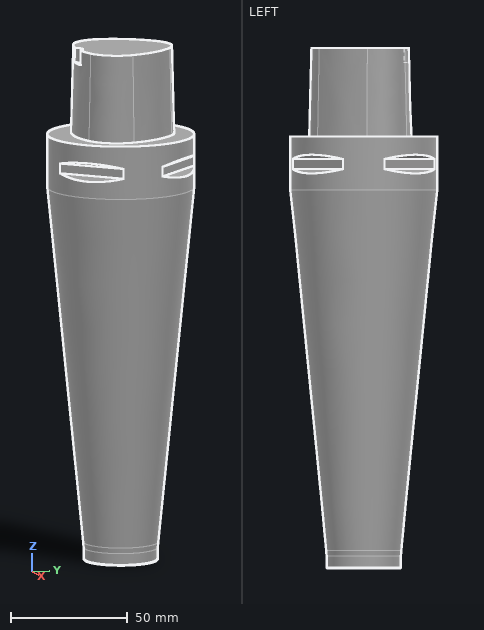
import cadquery as cq
import math

total_height = 223.0
flange_diameter = 63.0
nose_diameter = 32.0
shank_height = 38.0
flange_height = 23.0
nose_height = 5.4
nose_transition_height = 2.5
cone_end_diameter = 32.3
nose_chamfer = 0.5

lobe_count = 3
lobe_radius = 15.2
lobe_centre_distance = 8.3
flank_distance = 20.5
shank_taper = math.degrees(math.atan(1 / 40))

notch_radius = 4.5
notch_depth = 6.2
notch_centre_distance = 21.6

groove_count = 4
groove_drop = 11.8
groove_floor_distance = 27.7
groove_floor_height = 4.2
groove_mouth_height = 8.0

flange_radius = flange_diameter / 2
nose_radius = nose_diameter / 2
flange_top = total_height - shank_height
flange_bottom = flange_top - flange_height


def make_body():
    """Flange, long cone and nose turned about Z."""
    profile = [
        (0, 0),
        (nose_radius - nose_chamfer, 0),
        (nose_radius, nose_chamfer),
        (nose_radius, nose_height),
        (cone_end_diameter / 2, nose_height + nose_transition_height),
        (flange_radius, flange_bottom),
        (flange_radius, flange_top),
        (0, flange_top),
    ]
    return cq.Workplane("XZ").polyline(profile).close().revolve(360, (0, 0), (0, 1))


def polar_point(radius, angle):
    return radius * math.cos(angle), radius * math.sin(angle)


def make_shank():
    """Rounded triangle of tangent lobe and flank arcs, with one lobe toward +Y."""
    half_sector = math.pi / lobe_count
    lobe_across = lobe_centre_distance * math.sin(half_sector)
    lobe_along = lobe_centre_distance * math.cos(half_sector)

    flank_gap = flank_distance - lobe_along
    clearance = flank_gap - lobe_radius
    squares = lobe_across**2 + flank_gap**2 - lobe_radius**2
    flank_radius = squares / (2 * clearance)

    reach = flank_radius / (flank_radius - lobe_radius)
    tangent_across = reach * lobe_across
    tangent_along = flank_distance - flank_radius + reach * (flank_radius - flank_gap)
    tangent_distance = math.hypot(tangent_across, tangent_along)
    tangent_angle = math.atan2(tangent_across, tangent_along)

    first_flank = -math.pi / 2
    outline = cq.Workplane("XY").workplane(offset=flange_top)
    outline = outline.moveTo(*polar_point(tangent_distance, first_flank - tangent_angle))
    for index in range(lobe_count):
        flank = first_flank + index * 2 * half_sector
        next_flank = flank + 2 * half_sector
        outline = outline.threePointArc(
            polar_point(flank_distance, flank),
            polar_point(tangent_distance, flank + tangent_angle),
        )
        outline = outline.threePointArc(
            polar_point(lobe_centre_distance + lobe_radius, flank + half_sector),
            polar_point(tangent_distance, next_flank - tangent_angle),
        )
    return outline.close().extrude(shank_height, taper=shank_taper)


def make_notch():
    """Round-backed notch in the -Y flank, open at the top."""
    return (
        cq.Workplane("XY")
        .workplane(offset=total_height - notch_depth)
        .center(0, -notch_centre_distance)
        .circle(notch_radius)
        .extrude(notch_depth)
    )


def make_groove(angle):
    """Straight flat-floored groove with flared walls, facing the given angle."""
    depth = flange_radius - groove_floor_distance
    flare = (groove_mouth_height - groove_floor_height) / 2 / depth
    cutter_depth = 2 * depth
    floor_half = groove_floor_height / 2
    outer_half = floor_half + flare * cutter_depth
    outer = groove_floor_distance + cutter_depth
    section = [
        (groove_floor_distance, -floor_half),
        (outer, -outer_half),
        (outer, outer_half),
        (groove_floor_distance, floor_half),
    ]
    return (
        cq.Workplane("XZ")
        .polyline(section)
        .close()
        .extrude(flange_radius, both=True)
        .translate((0, 0, flange_top - groove_drop))
        .rotate((0, 0, 0), (0, 0, 1), angle)
    )


result = make_body().union(make_shank()).cut(make_notch())
groove_spacing = 360 / groove_count
for groove_index in range(groove_count):
    result = result.cut(make_groove((groove_index + 0.5) * groove_spacing))